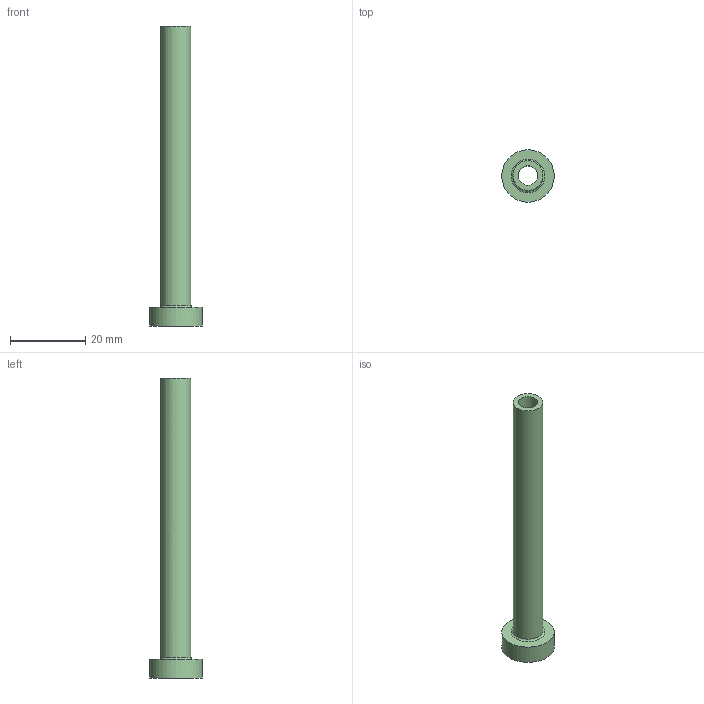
import cadquery as cq

TOTAL_LENGTH = 80.0
HEAD_DIAMETER = 14.0
HEAD_THICKNESS = 5.0
SHANK_DIAMETER = 8.0
BORE_DIAMETER = 5.2
NECK_FILLET_RADIUS = 0.5


def sleeve_body():
    """Flat head at the bottom with a long shank filleted into it."""
    head_radius = HEAD_DIAMETER / 2
    shank_radius = SHANK_DIAMETER / 2
    fillet_top = HEAD_THICKNESS + NECK_FILLET_RADIUS
    fillet_edge = shank_radius + NECK_FILLET_RADIUS
    half_profile = (
        cq.Workplane("XZ")
        .lineTo(head_radius, 0)
        .lineTo(head_radius, HEAD_THICKNESS)
        .lineTo(fillet_edge, HEAD_THICKNESS)
        .radiusArc((shank_radius, fillet_top), NECK_FILLET_RADIUS)
        .lineTo(shank_radius, TOTAL_LENGTH)
        .lineTo(0, TOTAL_LENGTH)
        .close()
    )
    return half_profile.revolve(360, (0, 0, 0), (0, 1, 0))


def bore():
    """Straight hole through the full length."""
    return cq.Workplane("XY").circle(BORE_DIAMETER / 2).extrude(TOTAL_LENGTH)


result = sleeve_body().cut(bore())